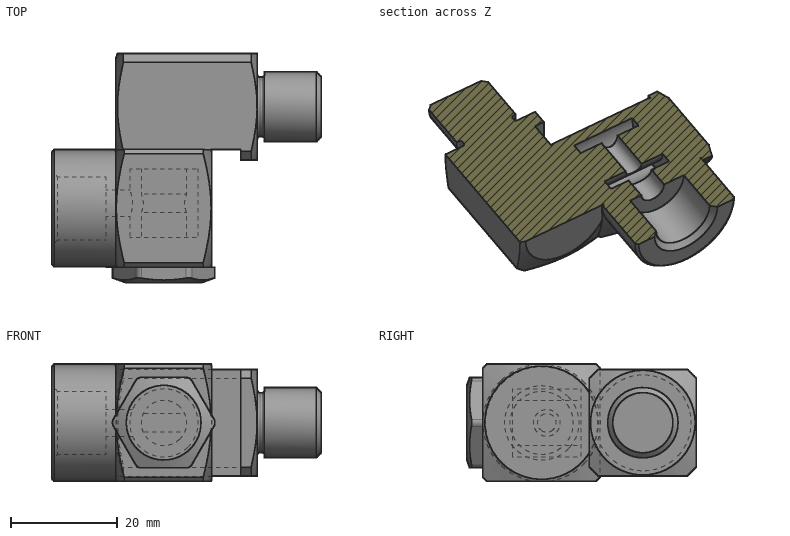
import cadquery as cq
import math

END_CONE_ANGLE = math.radians(20)

body_size = 22.0
collar_length = 11.95
collar_chamfer = 0.5
body_length = 18.05
body_edge_chamfer = 0.8
body_cone_diameter = 21.2
body_mid_x = collar_length + body_length / 2

socket_diameter = 11.8
socket_depth = 10.1
socket_countersink = 1.05
inlet_diameter = 5.0
inlet_y = 0.95
chamber_diameter = 12.8
chamber_length = chamber_diameter

pin_diameter = 8.5
cross_hole_diameter = 3.5

plug_across_flats = 16.95
plug_height = 3.0
plug_corner_radius = 1.25
plug_face_diameter = 14.0

side_size = 20.0
side_length = 26.55
side_axis_y = 19.0
side_edge_chamfer = 1.65
side_left_cone_diameter = 18.0
side_right_cone_diameter = 19.6
side_flat_y = 10.95
lip_thickness = 3.15
side_end_x = collar_length + side_length

stud_diameter = 13.2
stud_chamfer = 0.95
neck_diameter = 11.2
neck_length = 1.3
neck_fillet = 0.45
overall_length = 50.5


def cylinder_x(diameter, x_start, x_end, y=0.0):
    """Cylinder along X between two X positions."""
    plane = cq.Workplane("YZ", origin=(x_start, y, 0))
    return plane.circle(diameter / 2).extrude(x_end - x_start)


def cone_ended_profile(length, radius, start_diameter, end_diameter):
    """Half profile of a cylinder with 20 degree conical ends, as (along axis, radius) points.

    The flat end faces have the given diameters.
    """
    start_rise = (radius - start_diameter / 2) * math.tan(END_CONE_ANGLE)
    end_rise = (radius - end_diameter / 2) * math.tan(END_CONE_ANGLE)
    return [
        (0, 0),
        (0, start_diameter / 2),
        (start_rise, radius),
        (length - end_rise, radius),
        (length, end_diameter / 2),
        (length, 0),
    ]


def turned_square_block(size, length, edge_chamfer, start_diameter, end_diameter, y):
    """Square bar along X with chamfered long edges and conically turned ends."""
    bar = (
        cq.Workplane("YZ", origin=(collar_length, y, 0))
        .rect(size, size)
        .extrude(length)
        .edges("|X")
        .chamfer(edge_chamfer)
    )
    envelope = (
        cq.Workplane("XY", origin=(collar_length, y, 0))
        .polyline(cone_ended_profile(length, size, start_diameter, end_diameter))
        .close()
        .revolve(360, (0, 0, 0), (1, 0, 0))
    )
    return bar.intersect(envelope)


def collar():
    return cylinder_x(body_size, 0, collar_length).faces("<X").chamfer(collar_chamfer)


def body_block():
    return turned_square_block(
        body_size, body_length, body_edge_chamfer, body_cone_diameter, body_cone_diameter, 0
    )


def side_block():
    block = turned_square_block(
        side_size,
        side_length,
        side_edge_chamfer,
        side_left_cone_diameter,
        side_right_cone_diameter,
        side_axis_y,
    )
    trim = cq.Workplane("XY").box(
        side_length - lip_thickness, side_flat_y, side_size, centered=(False, False, True)
    )
    return block.cut(trim.translate((collar_length, 0, 0)))


def stud():
    thread_start_x = side_end_x + neck_length
    thread = cylinder_x(stud_diameter, thread_start_x, overall_length, side_axis_y)
    thread = thread.faces(">X").chamfer(stud_chamfer)
    neck_radius = neck_diameter / 2
    shoulder_radius = neck_radius + neck_fillet
    fillet_mid = neck_fillet * (1 - math.sqrt(0.5))
    neck = (
        cq.Workplane("XY", origin=(side_end_x, side_axis_y, 0))
        .lineTo(0, shoulder_radius)
        .threePointArc((fillet_mid, neck_radius + fillet_mid), (neck_fillet, neck_radius))
        .lineTo(neck_length - neck_fillet, neck_radius)
        .threePointArc(
            (neck_length - fillet_mid, neck_radius + fillet_mid), (neck_length, shoulder_radius)
        )
        .lineTo(neck_length, 0)
        .close()
        .revolve(360, (0, 0, 0), (1, 0, 0))
    )
    return thread.union(neck)


def plug():
    across_corners = plug_across_flats / math.cos(math.pi / 6)
    seat = cq.Workplane("XZ", origin=(body_mid_x, -body_size / 2, 0))
    hexagon = (
        seat.polygon(6, across_corners)
        .extrude(plug_height)
        .edges("|Y")
        .fillet(plug_corner_radius)
    )
    cone_rise = (across_corners - plug_face_diameter) / 2 * math.tan(END_CONE_ANGLE)
    envelope = (
        seat.circle(across_corners / 2)
        .extrude(plug_height)
        .faces("<Y")
        .chamfer(cone_rise, (across_corners - plug_face_diameter) / 2)
    )
    return hexagon.intersect(envelope)


def cut_socket(part):
    part = part.cut(cylinder_x(socket_diameter, 0, socket_depth))
    countersink = cq.Workplane(
        cq.Solid.makeCone(
            socket_diameter / 2 + socket_countersink,
            socket_diameter / 2,
            socket_countersink,
            cq.Vector(0, 0, 0),
            cq.Vector(1, 0, 0),
        )
    )
    return part.cut(countersink)


def cut_chamber(part):
    """Closed ring-shaped chamber around the drilled pin, reached through the inlet."""
    mid_plane = cq.Workplane("XZ", origin=(body_mid_x, inlet_y, 0))
    chamber = mid_plane.circle(chamber_diameter / 2).extrude(chamber_length / 2, both=True)
    pin = mid_plane.circle(pin_diameter / 2).extrude(chamber_length / 2, both=True)
    inlet = cylinder_x(inlet_diameter, socket_depth, body_mid_x, inlet_y)
    mid_gap_radius = (pin_diameter + chamber_diameter) / 4
    cross_hole = cylinder_x(
        cross_hole_diameter, body_mid_x - mid_gap_radius, body_mid_x + mid_gap_radius, inlet_y
    )
    void = chamber.union(inlet).cut(pin).union(cross_hole)
    return part.cut(void)


result = body_block().union(plug()).union(collar()).union(side_block()).union(stud())
result = cut_chamber(cut_socket(result))